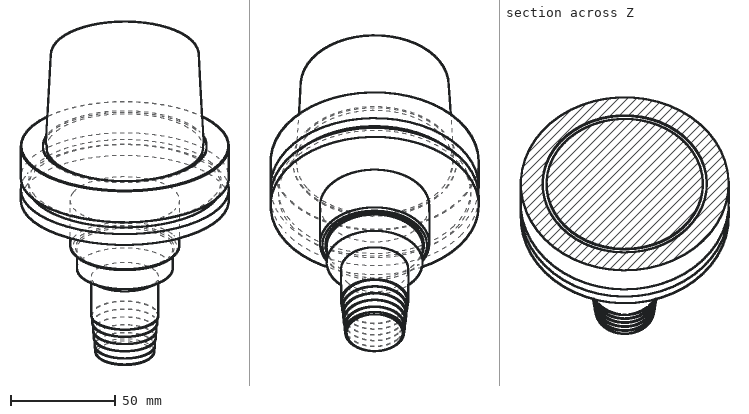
import cadquery as cq

TOTAL_HEIGHT = 159.9
FLANGE_TOP = 110.0
FLANGE_BOTTOM = 81.2
COLLAR_BOTTOM = 56.0
NECK_BOTTOM = 45.0
SHANK_TOP = 40.5
TIP_TOP = 20.0

TAPER_BASE_RADIUS = 37.9
TAPER_SLOPE = 1 / 20
TOP_FILLET = 1.8
UNDERCUT_HEIGHT = 2.4
UNDERCUT_DEPTH = 0.3
UNDERCUT_BEVEL_HEIGHT = 1.5
RECESS_RADIUS = 39.3
RECESS_DEPTH = 0.8

FLANGE_RADIUS = 49.97
FLANGE_CHAMFER = 0.3
GROOVE_RADIUS = 46.2
GROOVE_TOP = 91.5
GROOVE_BOTTOM = 88.7
GROOVE_FLANK_HEIGHT = 1.8
GROOVE_KINK_RADIUS = 48.5
GROOVE_KINK_DROP = 0.8

COLLAR_RADIUS = 26.2
COLLAR_CHAMFER = 1.1
NECK_RADIUS = 23.0
NECK_BEVEL = 0.6
SHANK_RADIUS = 16.1
TIP_START_RADIUS = 15.7
TIP_END_RADIUS = 14.2
TIP_CHAMFER = 0.8
TIP_BANDS = 5


def revolve_profile(points):
    """Solid of revolution about Z from (radius, height) points that start and end on the axis."""
    return cq.Workplane("XZ").polyline(points).close().revolve(360, (0, 0, 0), (0, 1, 0))


def make_taper():
    recess_floor = FLANGE_TOP - RECESS_DEPTH
    undercut_top = FLANGE_TOP + UNDERCUT_HEIGHT
    undercut_radius = TAPER_BASE_RADIUS - UNDERCUT_DEPTH
    top_radius = TAPER_BASE_RADIUS - TAPER_SLOPE * (TOTAL_HEIGHT - undercut_top)
    taper = revolve_profile([
        (0, recess_floor),
        (undercut_radius, recess_floor),
        (undercut_radius, undercut_top - UNDERCUT_BEVEL_HEIGHT),
        (TAPER_BASE_RADIUS, undercut_top),
        (top_radius, TOTAL_HEIGHT),
        (0, TOTAL_HEIGHT),
    ])
    return taper.faces(">Z").edges().fillet(TOP_FILLET)


def make_flange():
    flange = revolve_profile([
        (0, FLANGE_BOTTOM),
        (FLANGE_RADIUS, FLANGE_BOTTOM),
        (FLANGE_RADIUS, GROOVE_BOTTOM - GROOVE_FLANK_HEIGHT),
        (GROOVE_KINK_RADIUS, GROOVE_BOTTOM - GROOVE_KINK_DROP),
        (GROOVE_RADIUS, GROOVE_BOTTOM),
        (GROOVE_RADIUS, GROOVE_TOP),
        (FLANGE_RADIUS, GROOVE_TOP + GROOVE_FLANK_HEIGHT),
        (FLANGE_RADIUS, FLANGE_TOP - FLANGE_CHAMFER),
        (FLANGE_RADIUS - FLANGE_CHAMFER, FLANGE_TOP),
        (0, FLANGE_TOP),
    ])
    recess = cq.Workplane(origin=(0, 0, FLANGE_TOP - RECESS_DEPTH)).circle(RECESS_RADIUS).extrude(RECESS_DEPTH)
    return flange.cut(recess)


def make_stem():
    """Collar, neck and shank, stepping down in diameter toward the tip."""
    return revolve_profile([
        (0, TIP_TOP),
        (SHANK_RADIUS, TIP_TOP),
        (SHANK_RADIUS, SHANK_TOP),
        (NECK_RADIUS, NECK_BOTTOM),
        (NECK_RADIUS, COLLAR_BOTTOM - NECK_BEVEL),
        (NECK_RADIUS + NECK_BEVEL, COLLAR_BOTTOM),
        (COLLAR_RADIUS - COLLAR_CHAMFER, COLLAR_BOTTOM),
        (COLLAR_RADIUS, COLLAR_BOTTOM + COLLAR_CHAMFER),
        (COLLAR_RADIUS, FLANGE_BOTTOM),
        (0, FLANGE_BOTTOM),
    ])


def make_tip():
    """Equal cylindrical bands, each a little narrower than the one above; the last is chamfered."""
    band_height = TIP_TOP / TIP_BANDS
    radius_step = (TIP_START_RADIUS - TIP_END_RADIUS) / (TIP_BANDS - 1)
    tip = cq.Workplane().circle(TIP_END_RADIUS).extrude(band_height)
    for index in range(1, TIP_BANDS):
        radius = TIP_END_RADIUS + index * radius_step
        band = cq.Workplane(origin=(0, 0, index * band_height)).circle(radius).extrude(band_height)
        tip = tip.union(band)
    return tip.faces("<Z").edges().chamfer(TIP_CHAMFER)


result = make_flange().union(make_taper()).union(make_stem()).union(make_tip())